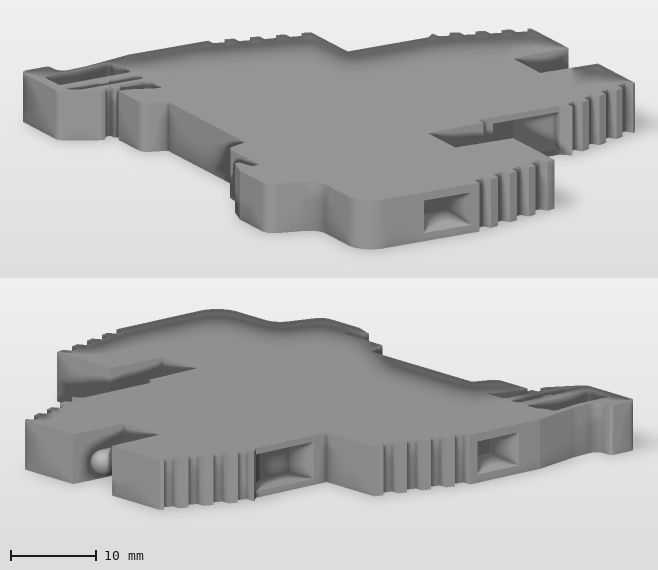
import cadquery as cq
import math

thickness = 6.0
mid_plane = thickness / 2

top_y = 60.0
upper_half_width = 15.25
upper_wall_top_y = 47.95
upper_top_half_width = 12.1
upper_spike_half_width = 16.3
upper_spike_y = 49.1
upper_teeth_end_half_width = 16.15
upper_tooth_angle = 20.0
upper_tooth_pitch = 2.9
upper_tooth_count = 4

lower_centre_x = 4.57
lower_half_width = 31.6
lower_left_x = lower_centre_x - lower_half_width
lower_right_x = lower_centre_x + lower_half_width
lower_top_y = 37.0
lower_tooth_angle = 15.0
lower_tooth_pitch = 3.0
lower_tooth_count = 4

tooth_tip_drop = 1.1
notch_top_drop = 1.65
notch_depth = 1.15

slot_depth = 7.65
slot_half_width_top = 3.45
slot_half_width_floor = 3.2
lower_slot_x = 19.85

body_bottom_y = 9.1
body_corner_radius = 3.0
pad_bottom_y = 6.2
pad_corner_radius = 1.2
rail_seat_half_width_top = 9.0
rail_seat_half_width_mouth = 10.0
hook_bottom_y = 3.1
hook_back_top_x = 26.2
hook_back_bottom_x = 24.5
hook_back_top_radius = 2.2
hook_back_bottom_radius = 1.6
hook_toe_x = 18.15
hook_tip_x = 15.4
hook_tip_bottom_y = 4.0
hook_tip_top_y = 4.6
hook_throat_x = 17.3
hook_throat_y = 5.2

overall_length = 64.03
foot_left_x = lower_right_x - overall_length
foot_top_y = 3.95
foot_corner_radius = 1.0
foot_top_radius = 0.4
foot_toe_x = -18.9
foot_toe_radius = 1.0
foot_heel_x = -17.4
foot_heel_y = 2.6
outer_arm_root_x = -25.35
outer_arm_bend_x = -25.65
outer_arm_bend_y = 7.75
outer_arm_top_y = 14.2
outer_arm_root_radius = 1.2
latch_x = -16.4
latch_top_y = 5.05
latch_bottom_y = 4.4
nub_root_y = 7.3
nub_tip_y = 7.0
nub_radius = 0.2
spring_gap_left_x = -17.3
spring_gap_right_x = -13.9
spring_gap_mouth_x = -15.5
spring_gap_mouth_y = 7.4
spring_gap_top_y = 11.3
spring_gap_left_radius = 0.8
spring_gap_right_radius = 0.3

window_bottom_y = 1.35
window_top_radius = 0.6
outer_window_left_top_x = -25.2
outer_window_left_x = -24.6
outer_window_right_top_x = -21.1
outer_window_right_x = -20.9
outer_window_bend_top_y = 10.0
outer_window_bend_y = 6.2
outer_window_shoulder_y = 10.55
outer_window_shoulder_x = -24.1
outer_window_step_x = -22.9
outer_window_bottom_radius = 0.4
outer_window_shoulder_radius = 0.3
inner_window_left_x = -19.7
inner_window_right_x = -18.2
inner_window_toe_x = -19.1
inner_window_toe_y = 2.8
bump_x = -19.25
bump_top_y = 7.4
bump_bottom_y = 5.8
bump_chamfer = 0.3

upper_entry_bottom_y = 38.95
upper_entry_floor_bottom_y = 39.45
upper_entry_ramp_y = 44.0
upper_entry_height = 4.5
upper_entry_step_depth = 1.1
upper_entry_depth = 3.9
lower_entry_length = 6.4
lower_entry_height = 4.0
lower_entry_y = 20.7
lower_entry_depth = 4.25
lower_entry_taper = 0.75

stem_radius = 1.2
stem_length = 2.45
collar_radius = 1.85
collar_length = 0.6
head_radius = 1.55
head_length = 2.85


def tangent_corner(before, corner, after, radius):
    """Start, middle and end of the arc that rounds a corner."""
    bx, by = before[0] - corner[0], before[1] - corner[1]
    ax, ay = after[0] - corner[0], after[1] - corner[1]
    b_len, a_len = math.hypot(bx, by), math.hypot(ax, ay)
    bx, by, ax, ay = bx / b_len, by / b_len, ax / a_len, ay / a_len
    half_angle = math.acos(bx * ax + by * ay) / 2
    reach = radius / math.tan(half_angle)
    sx, sy = bx + ax, by + ay
    s_len = math.hypot(sx, sy)
    middle = radius / math.sin(half_angle) - radius
    return (
        (corner[0] + bx * reach, corner[1] + by * reach),
        (corner[0] + sx / s_len * middle, corner[1] + sy / s_len * middle),
        (corner[0] + ax * reach, corner[1] + ay * reach),
    )


def plate(corners):
    """Full-thickness plate; each corner is (x, y) or (x, y, rounding radius)."""
    sketch = None
    for i, corner in enumerate(corners):
        if len(corner) == 3:
            after = corners[(i + 1) % len(corners)]
            start, middle, end = tangent_corner(corners[i - 1], corner, after, corner[2])
            sketch = sketch.lineTo(*start).threePointArc(middle, end)
        elif sketch is None:
            sketch = cq.Workplane("XY").moveTo(*corner)
        else:
            sketch = sketch.lineTo(*corner)
    return sketch.close().extrude(thickness)


def tooth_edge(half_width, y, pitch, angle, count):
    """Half-widths and heights down a flank of grip teeth, from the corner of the first tooth."""
    slope = math.tan(math.radians(angle))
    points = []
    for k in range(count):
        corner_y = y - k * pitch
        corner = half_width + k * pitch * slope
        tip = corner + tooth_tip_drop * slope
        notch_top = corner + notch_top_drop * slope - notch_depth
        notch_floor = corner + pitch * slope - notch_depth
        points += [
            (corner, corner_y),
            (tip, corner_y - tooth_tip_drop),
            (notch_top, corner_y - notch_top_drop),
            (notch_floor, corner_y - pitch),
        ]
    return points


def upper_flank():
    """Right flank of the upper deck, listed downwards; the top face cuts off the first tooth."""
    drop = upper_tooth_count * upper_tooth_pitch
    first = upper_teeth_end_half_width - drop * math.tan(math.radians(upper_tooth_angle))
    teeth = tooth_edge(
        first, upper_spike_y + drop, upper_tooth_pitch, upper_tooth_angle, upper_tooth_count
    )
    spike = (upper_spike_half_width, upper_spike_y)
    wall_top = (upper_half_width, upper_wall_top_y)
    return [(upper_top_half_width, top_y)] + teeth[1:] + [spike, wall_top]


def lower_flank():
    """Right flank of the lower deck relative to its centre, listed downwards."""
    drop = lower_tooth_count * lower_tooth_pitch
    first = lower_half_width - drop * math.tan(math.radians(lower_tooth_angle))
    teeth = tooth_edge(
        first, lower_top_y, lower_tooth_pitch, lower_tooth_angle, lower_tooth_count
    )
    return teeth + [(lower_half_width, lower_top_y - drop)]


def rail_side():
    """Underside from the right wall to the left wall: fixed hook, rail seat and spring foot."""
    hook = [
        (lower_right_x, body_bottom_y, body_corner_radius),
        (hook_back_top_x, body_bottom_y, hook_back_top_radius),
        (hook_back_bottom_x, hook_bottom_y, hook_back_bottom_radius),
        (hook_toe_x, hook_bottom_y),
        (hook_tip_x, hook_tip_bottom_y),
        (hook_tip_x, hook_tip_top_y),
        (hook_throat_x, hook_throat_y),
        (hook_throat_x, pad_bottom_y),
    ]
    rail_seat = [
        (rail_seat_half_width_mouth, pad_bottom_y, pad_corner_radius),
        (rail_seat_half_width_top, body_bottom_y),
        (-rail_seat_half_width_top, body_bottom_y),
        (-rail_seat_half_width_mouth, pad_bottom_y, pad_corner_radius),
    ]
    spring_gap = [
        (spring_gap_mouth_x, pad_bottom_y),
        (spring_gap_mouth_x, spring_gap_mouth_y),
        (spring_gap_right_x, spring_gap_top_y, spring_gap_right_radius),
        (spring_gap_left_x, spring_gap_top_y, spring_gap_left_radius),
        (spring_gap_left_x, nub_root_y),
        (latch_x, nub_tip_y, nub_radius),
        (latch_x, pad_bottom_y, nub_radius),
        (spring_gap_left_x, pad_bottom_y),
    ]
    spring_foot = [
        (spring_gap_left_x, latch_top_y),
        (latch_x, latch_top_y, nub_radius),
        (latch_x, latch_bottom_y),
        (foot_heel_x, foot_heel_y),
        (foot_toe_x, 0, foot_toe_radius),
        (foot_left_x, 0, foot_corner_radius),
        (foot_left_x, foot_top_y, foot_top_radius),
        (outer_arm_root_x, foot_top_y, outer_arm_root_radius),
        (outer_arm_bend_x, outer_arm_bend_y),
        (lower_left_x, outer_arm_top_y),
    ]
    return hook + rail_seat + spring_gap + spring_foot


def outline():
    """Housing outline, running clockwise from the right end of the top face."""
    upper = upper_flank()
    lower = lower_flank()
    right = upper + [(upper_half_width, lower_top_y)]
    right += [(lower_centre_x + x, y) for x, y in lower]
    left = [(lower_centre_x - x, y) for x, y in reversed(lower)]
    left += [(-upper_half_width, lower_top_y)]
    left += [(-x, y) for x, y in reversed(upper)]
    return right + rail_side() + left


def slot(x, mouth_y):
    """Drafted screwdriver slot, open at the top face of its deck."""
    floor_y = mouth_y - slot_depth
    return plate([
        (x - slot_half_width_top, mouth_y),
        (x - slot_half_width_floor, floor_y),
        (x + slot_half_width_floor, floor_y),
        (x + slot_half_width_top, mouth_y),
    ])


def spring_windows():
    """The two through windows that leave thin spring arms above the foot."""
    outer = plate([
        (outer_window_left_top_x, outer_window_bend_top_y),
        (outer_window_left_x, outer_window_bend_y),
        (outer_window_left_x, window_bottom_y, outer_window_bottom_radius),
        (outer_window_right_x, window_bottom_y, outer_window_bottom_radius),
        (outer_window_right_top_x, spring_gap_top_y, window_top_radius),
        (outer_window_step_x, spring_gap_top_y),
        (outer_window_shoulder_x, outer_window_shoulder_y),
        (outer_window_left_top_x, outer_window_shoulder_y, outer_window_shoulder_radius),
    ])
    inner = plate([
        (inner_window_left_x, bump_top_y),
        (bump_x, bump_top_y - bump_chamfer),
        (bump_x, bump_bottom_y + bump_chamfer),
        (inner_window_left_x, bump_bottom_y),
        (inner_window_left_x, window_bottom_y),
        (inner_window_toe_x, window_bottom_y),
        (inner_window_right_x, inner_window_toe_y),
        (inner_window_right_x, spring_gap_top_y, window_top_radius),
        (inner_window_left_x, spring_gap_top_y, window_top_radius),
    ])
    return outer.union(inner)


def upper_entry():
    """Ramped wire pocket in the left wall of the upper deck."""
    wall_x = -upper_half_width
    profile = [
        (wall_x, upper_entry_bottom_y),
        (wall_x, upper_wall_top_y),
        (wall_x + upper_entry_step_depth, upper_wall_top_y),
        (wall_x + upper_entry_depth, upper_entry_ramp_y),
        (wall_x + upper_entry_depth, upper_entry_floor_bottom_y),
    ]
    base = cq.Workplane("XY", origin=(0, 0, mid_plane)).polyline(profile).close()
    return base.extrude(upper_entry_height / 2, both=True)


def lower_entry():
    """Wire funnel in the left wall of the lower deck, narrowing inwards on all four sides."""
    mouth = cq.Workplane("YZ", origin=(lower_left_x, lower_entry_y, mid_plane))
    return (
        mouth.rect(lower_entry_length, lower_entry_height)
        .workplane(offset=lower_entry_depth)
        .rect(lower_entry_length - 2 * lower_entry_taper, lower_entry_height - 2 * lower_entry_taper)
        .loft(ruled=True)
    )


def make_housing():
    """Two-deck housing with the same wire entries in both side walls of each deck."""
    body = plate(outline())
    body = body.cut(slot(0, top_y)).cut(slot(lower_slot_x, lower_top_y))
    body = body.cut(spring_windows())
    for entry, deck_centre_x in ((upper_entry(), 0), (lower_entry(), lower_centre_x)):
        body = body.cut(entry).cut(entry.mirror("YZ", (deck_centre_x, 0, 0)))
    return body


def make_pin():
    """Round-headed pin with a collar, standing on the floor of the upper slot."""
    base_y = top_y - slot_depth
    collar_y = base_y + stem_length
    head_y = collar_y + collar_length
    dome_y = head_y + head_length
    dome_mid = head_radius * math.sqrt(0.5)
    profile = (
        cq.Workplane("YZ", origin=(0, 0, mid_plane))
        .moveTo(base_y, 0)
        .lineTo(base_y, stem_radius)
        .lineTo(collar_y, stem_radius)
        .lineTo(collar_y, collar_radius)
        .lineTo(head_y, collar_radius)
        .lineTo(head_y, head_radius)
        .lineTo(dome_y, head_radius)
        .threePointArc((dome_y + dome_mid, dome_mid), (dome_y + head_radius, 0))
        .close()
    )
    return profile.revolve(360, (0, 0, 0), (1, 0, 0))


housing = make_housing()
pin = make_pin()
result = cq.Compound.makeCompound([housing.val(), pin.val()])